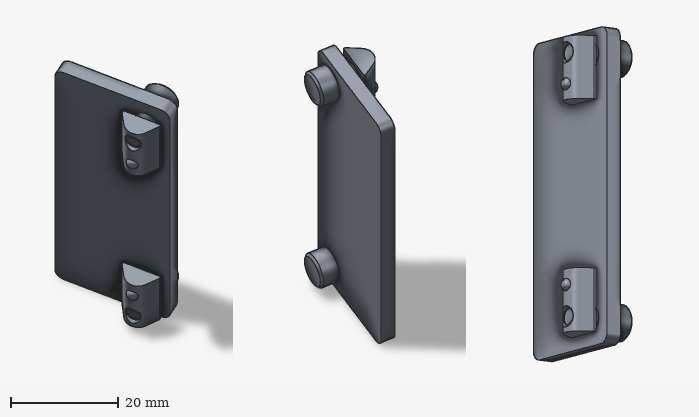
import cadquery as cq
import math

PLATE_WIDTH = 24.0
PLATE_THICKNESS = 3.0
PLATE_HEIGHT = 60.0
PLATE_CORNER_RADIUS = 2.0
CLEARANCE_DIAMETER = 4.5

FASTENER_X = 7.0
SCREW_INSET = 5.0
SCREW_Z = PLATE_HEIGHT / 2 - SCREW_INSET

HEAD_DIAMETER = 7.0
HEAD_HEIGHT = 4.0
HEAD_TOP_CHAMFER = 0.5
HEAD_SEAT_CHAMFER = 0.2
SHANK_DIAMETER = 4.0
THREAD_DIAMETER = 3.25

NUT_GAP = 1.8
NUT_WIDTH = 7.8
NUT_DEPTH = 4.2
NUT_LENGTH = 12.0
NUT_EDGE = 0.4
NUT_NOSE_RADIUS = 2.7
NUT_END_INSET = 3.0
COUNTERSINK_DIAMETER = SHANK_DIAMETER
COUNTERSINK_DEPTH = 0.65
SCREW_RECESS = 0.25
BALL_RADIUS = 1.25
BALL_PROTRUSION = 0.8
BALL_OFFSET = 6.0

NUT_BACK_Y = -NUT_GAP
NUT_NOSE_Y = NUT_BACK_Y - NUT_DEPTH
COUNTERSINK_BOTTOM_Y = NUT_NOSE_Y + COUNTERSINK_DEPTH
SCREW_END_Y = COUNTERSINK_BOTTOM_Y + SCREW_RECESS


def cylinder_along_y(diameter, y_start, y_end):
    """Cylinder on the Y axis from y_start up to y_end."""
    return (
        cq.Workplane("XZ", origin=(0, y_start, 0))
        .circle(diameter / 2)
        .extrude(y_start - y_end)
    )


def make_plate():
    """Rounded plate with a clearance hole for each screw."""
    plate = (
        cq.Workplane("XY")
        .box(PLATE_WIDTH, PLATE_THICKNESS, PLATE_HEIGHT)
        .edges("|Y")
        .fillet(PLATE_CORNER_RADIUS)
        .translate((0, PLATE_THICKNESS / 2, 0))
    )
    hole = cylinder_along_y(CLEARANCE_DIAMETER, 0, PLATE_THICKNESS)
    for screw_z in (SCREW_Z, -SCREW_Z):
        plate = plate.cut(hole.translate((FASTENER_X, 0, screw_z)))
    return plate


def make_screw():
    """Cap screw on the Y axis with its head on the plate's inner face."""
    head = cylinder_along_y(HEAD_DIAMETER, PLATE_THICKNESS, PLATE_THICKNESS + HEAD_HEIGHT)
    head = head.faces(">Y").edges().chamfer(HEAD_TOP_CHAMFER)
    head = head.faces("<Y").edges().chamfer(HEAD_SEAT_CHAMFER)
    shank = cylinder_along_y(SHANK_DIAMETER, NUT_BACK_Y, PLATE_THICKNESS)
    thread = cylinder_along_y(THREAD_DIAMETER, SCREW_END_Y, NUT_BACK_Y)
    return head.union(shank).union(thread)


def make_nut_body():
    """Wedge whose slanted sides run tangent into the rounded nose."""
    half_width = NUT_WIDTH / 2
    edge_y = NUT_BACK_Y - NUT_EDGE
    nose_center_y = NUT_NOSE_Y + NUT_NOSE_RADIUS
    corner_rise = edge_y - nose_center_y
    corner_distance = math.hypot(half_width, corner_rise)
    tangent_angle = math.acos(NUT_NOSE_RADIUS / corner_distance) - math.atan2(corner_rise, half_width)
    tangent_x = NUT_NOSE_RADIUS * math.cos(tangent_angle)
    tangent_y = nose_center_y - NUT_NOSE_RADIUS * math.sin(tangent_angle)
    return (
        cq.Workplane("XY", origin=(0, 0, NUT_END_INSET - NUT_LENGTH))
        .moveTo(-half_width, NUT_BACK_Y)
        .lineTo(half_width, NUT_BACK_Y)
        .lineTo(half_width, edge_y)
        .lineTo(tangent_x, tangent_y)
        .threePointArc((0, NUT_NOSE_Y), (-tangent_x, tangent_y))
        .lineTo(-half_width, edge_y)
        .close()
        .extrude(NUT_LENGTH)
    )


def make_countersink():
    """Cone that widens from the thread diameter out to the nose."""
    cone = cq.Solid.makeCone(
        COUNTERSINK_DIAMETER / 2,
        THREAD_DIAMETER / 2,
        COUNTERSINK_DEPTH,
        pnt=cq.Vector(0, NUT_NOSE_Y, 0),
        dir=cq.Vector(0, 1, 0),
    )
    return cq.Workplane(obj=cone)


def make_nut():
    """Upper slot nut with its hole on the Y axis and the ball below it."""
    ball_y = NUT_NOSE_Y - BALL_PROTRUSION + BALL_RADIUS
    ball = cq.Workplane("XY").sphere(BALL_RADIUS).translate((0, ball_y, -BALL_OFFSET))
    thread_hole = cylinder_along_y(THREAD_DIAMETER, NUT_NOSE_Y, NUT_BACK_Y)
    return make_nut_body().cut(thread_hole).cut(make_countersink()).union(ball)


def place_pair(body):
    """Upper copy of a body and its mirror image at the lower end."""
    upper = body.solids().translate((FASTENER_X, 0, SCREW_Z))
    return [upper.val(), upper.mirror("XY").val()]


plate = make_plate()
screws = place_pair(make_screw())
nuts = place_pair(make_nut())

result = cq.Compound.makeCompound([plate.solids().val(), *screws, *nuts])